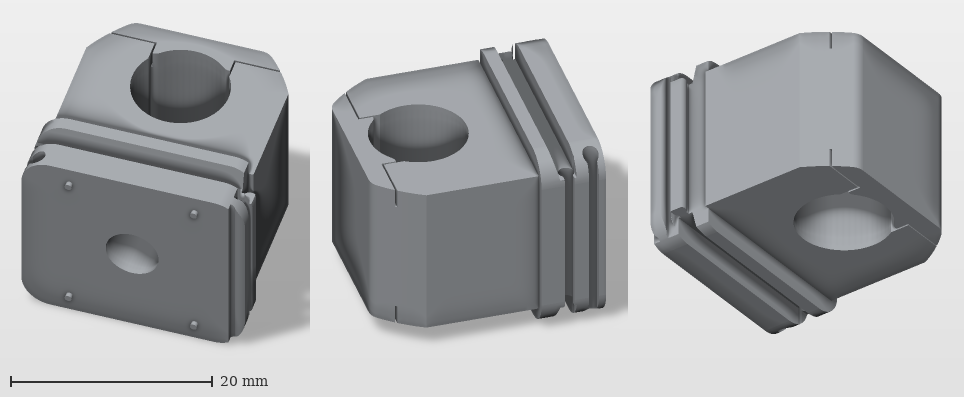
import cadquery as cq
import math

FLANGE_WIDTH = 23.0
FLANGE_HEIGHT = 20.0
FLANGE_CORNER = 3.0
FLANGE_BACK = 6.67

GROOVE_FRONT = 3.0
GROOVE_FLOOR_BACK = 4.72
GROOVE_MOUTH_BACK = 5.29
GROOVE_DEPTH = 2.3

LOCK_POSITIONS_Y = (1.25, 3.75)
LOCK_BULB_RADIUS = 0.8
LOCK_NECK = 1.0
TONGUE_LENGTH = 1.5
TONGUE_BULB_REACH = 0.99
SLOT_BULB_DEPTH = 1.27

BLOCK_WIDTH = 21.0
BLOCK_HEIGHT = 16.0
BLOCK_BACK = 23.0
FLANK_START = 18.28
FLANK_TOP_HALF_WIDTH = 6.95
FLANK_RADIUS = 17.4
FLANK_FILLET = 1.65

BORE_RADIUS = 5.0
BORE_Y = 16.0
NOTCH_HALF_WIDTH = 4.2
LIP_Y = 19.5
LIP_FILLET = 0.73

SEAM_WIDTH = 0.19
SEAM_DEPTH = 2.0
SEAM_Y = BORE_Y + BORE_RADIUS

CABLE_HOLE_DIAMETER = 5.5
PIN_DIAMETER = 0.7
PIN_LENGTH = 0.5
PIN_X = 6.5
PIN_Z = BLOCK_HEIGHT / 2


def box(x_min, x_max, y_min, y_max, height):
    """Box centred on z = 0."""
    return (
        cq.Workplane("XY")
        .box(x_max - x_min, y_max - y_min, height, centered=(False, False, True))
        .translate((x_min, y_min, 0))
    )


def column(x, y, radius, height):
    """Cylinder along Z, centred on z = 0."""
    return cq.Workplane("XY").center(x, y).circle(radius).extrude(height / 2, both=True)


def lock_profile(edge_x, bulb_x, y):
    """Neck from edge_x to bulb_x ending in a round bulb, along the full height."""
    half_neck = LOCK_NECK / 2
    x_min = min(edge_x, bulb_x)
    x_max = max(edge_x, bulb_x)
    neck = box(x_min, x_max, y - half_neck, y + half_neck, FLANGE_HEIGHT)
    return neck.union(column(bulb_x, y, LOCK_BULB_RADIUS, FLANGE_HEIGHT))


def edge_groove():
    """Groove along X in the top edge, with its back wall sloping outwards."""
    top = FLANGE_HEIGHT / 2
    floor = top - GROOVE_DEPTH
    return (
        cq.Workplane("YZ")
        .moveTo(GROOVE_FRONT, floor)
        .lineTo(GROOVE_FLOOR_BACK, floor)
        .lineTo(GROOVE_MOUTH_BACK, top)
        .lineTo(GROOVE_FRONT, top)
        .close()
        .extrude(FLANGE_WIDTH / 2, both=True)
    )


def make_flange():
    half_width = FLANGE_WIDTH / 2
    shoulder_x = half_width - TONGUE_LENGTH
    blank = box(-half_width, half_width, 0, FLANGE_BACK, FLANGE_HEIGHT).edges("|Y").fillet(FLANGE_CORNER)

    envelope = box(-half_width, shoulder_x, 0, FLANGE_BACK, FLANGE_HEIGHT)
    for y in LOCK_POSITIONS_Y:
        envelope = envelope.union(lock_profile(shoulder_x, shoulder_x + TONGUE_BULB_REACH, y))
    flange = blank.intersect(envelope)

    for y in LOCK_POSITIONS_Y:
        flange = flange.cut(lock_profile(-half_width, SLOT_BULB_DEPTH - half_width, y))

    groove = edge_groove()
    return flange.cut(groove).cut(groove.mirror("XY"))


def make_block():
    half_width = BLOCK_WIDTH / 2
    return (
        cq.Workplane("XY")
        .moveTo(-half_width, FLANGE_BACK)
        .lineTo(half_width, FLANGE_BACK)
        .lineTo(half_width, FLANK_START)
        .radiusArc((FLANK_TOP_HALF_WIDTH, BLOCK_BACK), -FLANK_RADIUS)
        .lineTo(-FLANK_TOP_HALF_WIDTH, BLOCK_BACK)
        .radiusArc((-half_width, FLANK_START), -FLANK_RADIUS)
        .close()
        .extrude(BLOCK_HEIGHT / 2, both=True)
        .edges("|Z and >Y")
        .fillet(FLANK_FILLET)
    )


def make_bore():
    """Round bore widened by straight notches up to the underside of the lips."""
    bore = column(0, BORE_Y, BORE_RADIUS, BLOCK_HEIGHT)
    notch = box(-NOTCH_HALF_WIDTH, NOTCH_HALF_WIDTH, BORE_Y, LIP_Y, BLOCK_HEIGHT)
    lip_x = math.sqrt(BORE_RADIUS**2 - (LIP_Y - BORE_Y) ** 2)
    bore = bore.union(notch)
    for x in (-lip_x, lip_x):
        bore = bore.edges(cq.selectors.NearestToPointSelector((x, LIP_Y, 0))).fillet(LIP_FILLET)
    return bore


def make_seams():
    """L-shaped slits on both sides of the bore, entering from the top and the bottom."""
    half_width = BLOCK_WIDTH / 2
    lip_half_width = NOTCH_HALF_WIDTH - SEAM_WIDTH
    across = box(lip_half_width, half_width, SEAM_Y - SEAM_WIDTH, SEAM_Y, BLOCK_HEIGHT)
    down = box(lip_half_width, NOTCH_HALF_WIDTH, LIP_Y, SEAM_Y, BLOCK_HEIGHT)
    core = box(0, half_width, LIP_Y, SEAM_Y, BLOCK_HEIGHT - 2 * SEAM_DEPTH)
    right = across.union(down).cut(core)
    return right.union(right.mirror("YZ"))


def make_pins():
    return (
        cq.Workplane("XZ")
        .rect(2 * PIN_X, 2 * PIN_Z, forConstruction=True)
        .vertices()
        .circle(PIN_DIAMETER / 2)
        .extrude(PIN_LENGTH)
    )


cable_hole = cq.Workplane("XZ").circle(CABLE_HOLE_DIAMETER / 2).extrude(-BORE_Y)

result = make_flange().union(make_block()).union(make_pins())
result = result.cut(make_bore()).cut(make_seams()).cut(cable_hole)